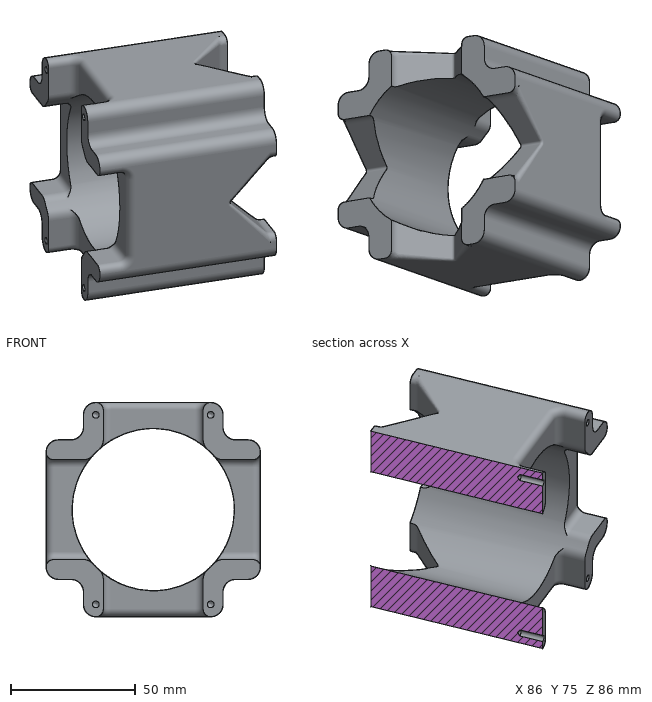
import cadquery as cq
import math

width = 86.0
length = 75.0
front_y = -length / 2
back_y = length / 2

arm_half = 28.0
round_radius = 5.0
bore_diameter = 65.0

notch_half = 20.0
notch_depth = 12.0
notch_corner = 3.0
bore_blend = 5.0
edge_round = arm_half - round_radius - notch_half

vee_half = 17.0
vee_depth = 19.9
vee_tip_radius = 1.0
vee_mouth_radius = 4.3
vee_tip_y = back_y - vee_depth
vee_mouth_y = vee_tip_y + vee_half
vee_round_wide = 2.3
vee_round_tip = 1.2

hole_diameter = 2.7
hole_depth = 10.0
drill_angle = 118.0


def cross_body():
    """Cross extruded along Y, with all long edges rounded and a round bore."""
    upright = cq.Workplane("XY").box(2 * arm_half, length, width)
    level = cq.Workplane("XY").box(width, length, 2 * arm_half)
    bore = cq.Workplane("XZ").circle(bore_diameter / 2).extrude(length / 2, both=True)
    return upright.union(level).edges("|Y").fillet(round_radius).cut(bore)


def front_notch():
    """Square notch for the top wall, with rounded floor corners."""
    notch = cq.Workplane("XY").center(0, front_y).rect(2 * notch_half, 2 * notch_depth).extrude(width)
    return notch.edges("|Z").fillet(notch_corner)


def back_vee():
    """V notch for the top wall: short straight sides, 45 degree flanks, rounded tip."""
    tip_half = vee_tip_radius * math.sin(math.radians(45))
    tip_bottom = vee_tip_y + vee_tip_radius * (math.sqrt(2) - 1)
    return (
        cq.Workplane("XY")
        .moveTo(-vee_half, back_y)
        .lineTo(-vee_half, vee_mouth_y)
        .lineTo(-tip_half, vee_tip_y + tip_half)
        .threePointArc((0, tip_bottom), (tip_half, vee_tip_y + tip_half))
        .lineTo(vee_half, vee_mouth_y)
        .lineTo(vee_half, back_y)
        .close()
        .extrude(width)
    )


def flank_radius(point):
    """Radius of the outer edge rounding at a point on the V: wide at the mouth, small at the tip."""
    return vee_round_tip if abs(point.x) < vee_tip_radius else vee_round_wide


def rim_radii(edge):
    """Radii of the outer edge rounding at the start and the end of a notch edge."""
    center_y = edge.Center().y
    is_flank_or_tip = 0 < center_y < vee_mouth_y
    if is_flank_or_tip:
        return flank_radius(edge.startPoint()), flank_radius(edge.endPoint())
    return edge_round, edge_round


def wall_openings():
    """Both notches of the top wall as a cutter that flares out along the rounded edges."""
    block = cq.Workplane("XY").rect(width, length).extrude(width / 2)
    slab = block.cut(front_notch()).cut(back_vee())

    margin = edge_round / 2
    low_corner = (-notch_half - margin, front_y, width / 2 - margin)
    high_corner = (notch_half + margin, back_y, width / 2 + margin)
    rim = slab.edges(cq.selectors.BoxSelector(low_corner, high_corner))
    rounding = cq.occ_impl.shapes.BRepFilletAPI_MakeFillet(slab.findSolid().wrapped)
    for edge in rim.vals():
        start_radius, end_radius = rim_radii(edge)
        rounding.Add(start_radius, end_radius, edge.wrapped)
    slab = cq.Workplane(cq.Shape.cast(rounding.Shape()))

    low_corner = (-notch_half, vee_mouth_y - margin, 0)
    high_corner = (notch_half, vee_mouth_y + margin, width / 2)
    mouth = slab.edges("|Z").edges(cq.selectors.BoxSelector(low_corner, high_corner))
    slab = slab.findSolid().fillet(vee_mouth_radius, mouth.vals())
    return block.cut(slab)


def bore_corner():
    """Cutter that blends one side face of a top notch smoothly into the bore.

    It removes a wedge around the blend axis but spares a post of the blend radius,
    whose flared foot carries the floor corner rounding around the blend.
    """
    axis_x = notch_half + bore_blend
    axis_z = math.sqrt((bore_diameter / 2 + bore_blend) ** 2 - axis_x**2)
    floor_y = front_y + notch_depth
    wedge = (
        cq.Workplane("XZ", origin=(0, floor_y, 0))
        .polyline([(axis_x, axis_z), (0, axis_z), (0, 0)])
        .close()
        .extrude(notch_depth)
    )
    foot_mid = notch_corner * (1 - math.sin(math.radians(45)))
    post = (
        cq.Workplane("XY")
        .moveTo(0, front_y)
        .lineTo(bore_blend, front_y)
        .lineTo(bore_blend, floor_y - notch_corner)
        .threePointArc((bore_blend + foot_mid, floor_y - foot_mid), (bore_blend + notch_corner, floor_y))
        .lineTo(0, floor_y)
        .close()
        .revolve(360, (0, 0), (0, 1))
        .translate((axis_x, 0, axis_z))
    )
    return wedge.cut(post)


def screw_holes():
    """Blind holes with drill points, centred on the arm corner arcs."""
    hole_radius = hole_diameter / 2
    point_depth = hole_radius / math.tan(math.radians(drill_angle / 2))
    drill = (
        cq.Workplane("XY")
        .lineTo(hole_radius, 0)
        .lineTo(hole_radius, hole_depth)
        .lineTo(0, hole_depth + point_depth)
        .close()
        .revolve(360, (0, 0), (0, 1))
    )
    drill = drill.translate((arm_half - round_radius, front_y, width / 2 - round_radius))
    right_pair = drill.union(drill.mirror("XY"))
    return right_pair.union(right_pair.mirror("YZ"))


wall_cutters = (wall_openings(), bore_corner(), bore_corner().mirror("YZ"))
body = cross_body()
for angle in (0, 90, 180, 270):
    for cutter in wall_cutters:
        body = body.cut(cutter.rotate((0, 0, 0), (0, 1, 0), angle))
result = body.cut(screw_holes()).solids()